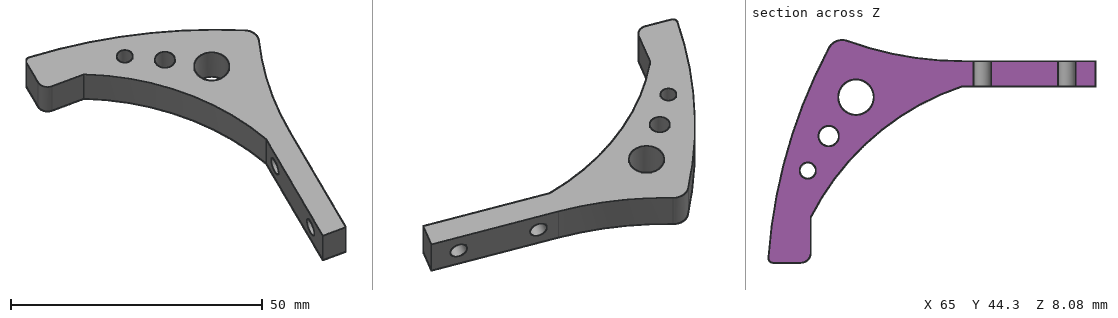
import cadquery as cq
import math

length = 64.98
thickness = 8.08

arm_top = 40.1
arm_width = 5.08
arm_bottom = arm_top - arm_width
arm_start = 38.4

foot_right = 8.46
foot_height = 9.1

outer_radius = 103.77
outer_center = (103.51, -6.27)
inner_radius = 52.1
upper_radius = 66.3
upper_center = (arm_start, arm_top + upper_radius)

heel_radius = 1.0
toe_radius = 2.1
peak_radius = 3.0

plate_holes = [
    (17.4, 32.92, 7.0),
    (11.98, 25.2, 4.0),
    (7.83, 18.35, 3.17),
]

cross_hole_diameter = 3.5
cross_hole_first_x = 42.5
cross_hole_spacing = 16.75
cross_hole_count = 2


def upper_left_intersection(center_a, radius_a, center_b, radius_b):
    """Crossing of two circles that lies to the left when looking from a to b."""
    dx = center_b[0] - center_a[0]
    dy = center_b[1] - center_a[1]
    distance = math.hypot(dx, dy)
    along = (radius_a**2 - radius_b**2 + distance**2) / (2 * distance)
    offset = math.sqrt(radius_a**2 - along**2)
    x = center_a[0] + (along * dx - offset * dy) / distance
    y = center_a[1] + (along * dy + offset * dx) / distance
    return (x, y)


def arc_middle(start, end, radius):
    """Middle of the minor arc that bulges to the left of the start-to-end chord."""
    dx = end[0] - start[0]
    dy = end[1] - start[1]
    chord = math.hypot(dx, dy)
    rise = radius - math.sqrt(radius**2 - (chord / 2) ** 2)
    x = (start[0] + end[0]) / 2 - rise * dy / chord
    y = (start[1] + end[1]) / 2 + rise * dx / chord
    return (x, y)


def make_body():
    """Hook-shaped plate with its three free corners rounded."""
    heel_x = outer_center[0] - math.sqrt(outer_radius**2 - outer_center[1] ** 2)
    heel = (heel_x, 0)
    toe = (foot_right, 0)
    foot_top = (foot_right, foot_height)
    arm_inner = (arm_start, arm_bottom)
    arm_upper = (arm_start, arm_top)
    peak = upper_left_intersection(outer_center, outer_radius, upper_center, upper_radius)

    body = (
        cq.Workplane("XY")
        .moveTo(*heel)
        .lineTo(*toe)
        .lineTo(*foot_top)
        .threePointArc(arc_middle(foot_top, arm_inner, inner_radius), arm_inner)
        .lineTo(length, arm_bottom)
        .lineTo(length, arm_top)
        .lineTo(*arm_upper)
        .threePointArc(arc_middle(arm_upper, peak, upper_radius), peak)
        .threePointArc(arc_middle(heel, peak, outer_radius), heel)
        .close()
        .extrude(thickness)
    )
    for corner, radius in ((heel, heel_radius), (toe, toe_radius), (peak, peak_radius)):
        edge_middle = (corner[0], corner[1], thickness / 2)
        body = body.edges(cq.selectors.NearestToPointSelector(edge_middle)).fillet(radius)
    return body


def cut_plate_holes(body):
    """Three holes of falling size down the curved limb."""
    for x, y, diameter in plate_holes:
        cutter = cq.Workplane("XY").center(x, y).circle(diameter / 2).extrude(thickness)
        body = body.cut(cutter)
    return body


def cut_cross_holes(body):
    """Holes along Y through the arm at mid thickness."""
    for index in range(cross_hole_count):
        x = cross_hole_first_x + index * cross_hole_spacing
        cutter = (
            cq.Workplane("XZ", origin=(x, arm_top, thickness / 2))
            .circle(cross_hole_diameter / 2)
            .extrude(arm_width)
        )
        body = body.cut(cutter)
    return body


result = cut_cross_holes(cut_plate_holes(make_body()))